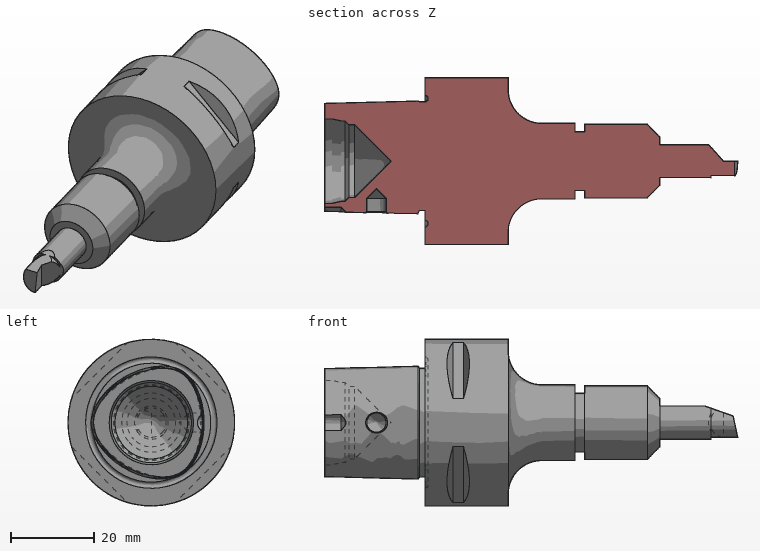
import cadquery as cq
import math

SHANK_START = -24.0
TAPER_END = -1.65
NECK_START = -1.25
FLANGE_WIDTH = 20.0
NECK_FILLET_END = 28.0
GROOVE_START = 36.0
NUT_START = 38.3
NUT_CONE_START = 53.3
NUT_END = 56.3
TIP_START = 68.6
PART_END = 75.0

FLANGE_RADIUS = 20.0
BODY_RADIUS = 9.1
BODY_FILLET_RADIUS = NECK_FILLET_END - FLANGE_WIDTH
GROOVE_RADIUS = 7.1
NUT_RADIUS = 8.87
NUT_FACE_RADIUS = 5.8
TOOL_RADIUS = 4.0
TIP_RADIUS = 3.52

LOBE_HEIGHT = 0.88
NECK_LOBE_HEIGHT = 1.2
SHANK_END_RADIUS = 13.0
OUTLINE_POINTS = 72
TAPER_SLOPE = 1 / 40
TAPER_BASE_RADIUS = SHANK_END_RADIUS + TAPER_SLOPE * (TAPER_END - SHANK_START)
NECK_INSET = 0.5

RING_GROOVE_INNER_RADIUS = 14.25
RING_GROOVE_OUTER_RADIUS = 15.75

BORE_MOUTH_RADIUS = 10.1
BORE_MIDDLE_RADIUS = 9.6
BORE_INNER_RADIUS = 8.7
BORE_MOUTH_DEPTH = 1.8
BORE_TAPER_DEPTH = 4.0
BORE_MIDDLE_DEPTH = 4.9
BORE_SHOULDER_DEPTH = 5.8
BORE_WALL_DEPTH = 7.2
BORE_APEX_DEPTH = BORE_WALL_DEPTH + BORE_INNER_RADIUS

DRILL_HALF_ANGLE = math.radians(45)
SIDE_HOLE_X = -11.6
SIDE_HOLE_RADIUS = 2.3
SIDE_HOLE_CHAMFER = 0.35
SIDE_HOLE_DEPTH = 3.5
SHANK_FLAT_Y = -(SHANK_END_RADIUS - LOBE_HEIGHT + TAPER_SLOPE * (SIDE_HOLE_X - SHANK_START))
KEYWAY_RADIUS = 2.25
KEYWAY_AXIS_Y = -13.3
KEYWAY_LENGTH = 3.9

SLOT_COUNT = 4
SLOT_CENTER_X = 8.0
SLOT_FLOOR_WIDTH = 2.5
SLOT_FLOOR_DISTANCE = 17.6
SLOT_WALL_ANGLE = math.radians(31)

TIP_SLOPE_START = 67.1
TIP_SLOPE_END = 73.9
TIP_SLOPE_END_Z = 1.6
TIP_RELIEF_START = 68.0
TIP_RELIEF_END = 71.6

CLEARANCE = 5.0


def revolve_about_x(points):
    """Solid of revolution about X from (x, radius) points."""
    return cq.Workplane("XY").polyline(points).close().revolve(360, (0, 0, 0), (1, 0, 0))


def lobed_section(x, radius, lobe_height):
    """Three-lobed outline of constant width, with one lobe toward +Y."""

    def point(t):
        angle = 2 * math.pi * t
        support = radius + lobe_height * math.cos(3 * angle)
        slope = -3 * lobe_height * math.sin(3 * angle)
        y = support * math.cos(angle) - slope * math.sin(angle)
        z = support * math.sin(angle) + slope * math.cos(angle)
        return (y, z)

    return cq.Workplane("YZ", origin=(x, 0, 0)).parametricCurve(point, N=OUTLINE_POINTS)


def lobed_loft(start_section, end_section):
    return cq.Workplane(cq.Solid.makeLoft([start_section.val(), end_section.val()], True))


def make_shank():
    """Tapered three-lobed shank and the undercut neck that joins it to the flange."""
    neck_radius = TAPER_BASE_RADIUS - NECK_INSET
    small_end = lobed_section(SHANK_START, SHANK_END_RADIUS, LOBE_HEIGHT)
    base = lobed_section(TAPER_END, TAPER_BASE_RADIUS, LOBE_HEIGHT)
    neck_start = lobed_section(NECK_START, neck_radius, NECK_LOBE_HEIGHT)
    neck_end = lobed_section(0, neck_radius, NECK_LOBE_HEIGHT)
    shank = lobed_loft(small_end, base)
    shank = shank.union(lobed_loft(base, neck_start))
    return shank.union(lobed_loft(neck_start, neck_end))


def make_round_body():
    """Flange with its face groove, filleted body, groove and collet nut."""
    diagonal = math.sqrt(0.5)
    ring_groove_mid = (
        (RING_GROOVE_OUTER_RADIUS - RING_GROOVE_INNER_RADIUS) / 2,
        (RING_GROOVE_OUTER_RADIUS + RING_GROOVE_INNER_RADIUS) / 2,
    )
    fillet_center_radius = BODY_RADIUS + BODY_FILLET_RADIUS
    fillet_mid = (
        NECK_FILLET_END - BODY_FILLET_RADIUS * diagonal,
        fillet_center_radius - BODY_FILLET_RADIUS * diagonal,
    )
    profile = (
        cq.Workplane("XY")
        .moveTo(0, 0)
        .lineTo(0, RING_GROOVE_INNER_RADIUS)
        .threePointArc(ring_groove_mid, (0, RING_GROOVE_OUTER_RADIUS))
        .lineTo(0, FLANGE_RADIUS)
        .lineTo(FLANGE_WIDTH, FLANGE_RADIUS)
        .lineTo(FLANGE_WIDTH, fillet_center_radius)
        .threePointArc(fillet_mid, (NECK_FILLET_END, BODY_RADIUS))
        .lineTo(GROOVE_START, BODY_RADIUS)
        .lineTo(GROOVE_START, GROOVE_RADIUS)
        .lineTo(NUT_START, GROOVE_RADIUS)
        .lineTo(NUT_START, NUT_RADIUS)
        .lineTo(NUT_CONE_START, NUT_RADIUS)
        .lineTo(NUT_END, NUT_FACE_RADIUS)
        .lineTo(NUT_END, 0)
        .close()
    )
    return profile.revolve(360, (0, 0, 0), (1, 0, 0))


def make_tool():
    """Round tool stem with its end ground to a cutting tip."""
    stem = revolve_about_x(
        [
            (NUT_END, 0),
            (NUT_END, TOOL_RADIUS),
            (TIP_START, TOOL_RADIUS),
            (TIP_START, TIP_RADIUS),
            (PART_END, TIP_RADIUS),
            (PART_END, 0),
        ]
    )
    side_outline = [
        (NUT_END, -TOOL_RADIUS),
        (NUT_END, TOOL_RADIUS),
        (TIP_SLOPE_START, TOOL_RADIUS),
        (TIP_SLOPE_END, TIP_SLOPE_END_Z),
        (PART_END, -TIP_RADIUS),
        (TIP_START, -TOOL_RADIUS),
    ]
    side_limit = cq.Workplane("XZ").polyline(side_outline).close().extrude(TOOL_RADIUS, both=True)
    relief_outline = [
        (TIP_RELIEF_START, TOOL_RADIUS),
        (TIP_RELIEF_END, 0),
        (PART_END, 0),
        (PART_END, TOOL_RADIUS),
    ]
    relief = cq.Workplane("XY").polyline(relief_outline).close().extrude(TOOL_RADIUS, both=True)
    return stem.intersect(side_limit).cut(relief)


def make_bore():
    steps = [
        (0, 0),
        (0, BORE_MOUTH_RADIUS),
        (BORE_MOUTH_DEPTH, BORE_MOUTH_RADIUS),
        (BORE_TAPER_DEPTH, BORE_MIDDLE_RADIUS),
        (BORE_MIDDLE_DEPTH, BORE_MIDDLE_RADIUS),
        (BORE_SHOULDER_DEPTH, BORE_INNER_RADIUS),
        (BORE_WALL_DEPTH, BORE_INNER_RADIUS),
        (BORE_APEX_DEPTH, 0),
    ]
    return revolve_about_x([(SHANK_START + depth, radius) for depth, radius in steps])


def make_side_hole():
    """Blind hole with a chamfered mouth and drill-point bottom, drilled along +Y."""
    mouth_radius = SIDE_HOLE_RADIUS + SIDE_HOLE_CHAMFER
    floor_y = SHANK_FLAT_Y + SIDE_HOLE_DEPTH
    profile = [
        (0, SHANK_FLAT_Y - CLEARANCE),
        (mouth_radius, SHANK_FLAT_Y - CLEARANCE),
        (mouth_radius, SHANK_FLAT_Y),
        (SIDE_HOLE_RADIUS, SHANK_FLAT_Y + SIDE_HOLE_CHAMFER),
        (SIDE_HOLE_RADIUS, floor_y),
        (0, floor_y + SIDE_HOLE_RADIUS / math.tan(DRILL_HALF_ANGLE)),
    ]
    hole = cq.Workplane("XY").polyline(profile).close().revolve(360, (0, 0, 0), (0, 1, 0))
    return hole.translate((SIDE_HOLE_X, 0, 0))


def make_keyway():
    """Round-bottomed groove drilled along X into the shank end face."""
    full_depth_x = SHANK_START + KEYWAY_LENGTH
    drill = revolve_about_x(
        [
            (SHANK_START, 0),
            (SHANK_START, KEYWAY_RADIUS),
            (full_depth_x, KEYWAY_RADIUS),
            (full_depth_x + KEYWAY_RADIUS / math.tan(DRILL_HALF_ANGLE), 0),
        ]
    )
    return drill.translate((0, KEYWAY_AXIS_Y, 0))


def make_gripper_slots():
    """Trapezoidal chord slots, spaced evenly and set midway between the Y and Z axes."""
    height = FLANGE_RADIUS - SLOT_FLOOR_DISTANCE
    half_floor = SLOT_FLOOR_WIDTH / 2
    half_mouth = half_floor + height * math.tan(SLOT_WALL_ANGLE)
    outline = [
        (SLOT_CENTER_X - half_floor, SLOT_FLOOR_DISTANCE),
        (SLOT_CENTER_X - half_mouth, FLANGE_RADIUS),
        (SLOT_CENTER_X + half_mouth, FLANGE_RADIUS),
        (SLOT_CENTER_X + half_floor, SLOT_FLOOR_DISTANCE),
    ]
    slot = cq.Workplane("XZ").polyline(outline).close().extrude(FLANGE_RADIUS, both=True)
    spacing = 360 / SLOT_COUNT
    slots = cq.Workplane("XY")
    for index in range(SLOT_COUNT):
        slots = slots.add(slot.rotate((0, 0, 0), (1, 0, 0), (index + 0.5) * spacing))
    return slots


result = make_shank().union(make_round_body()).union(make_tool())
result = result.cut(make_bore()).cut(make_side_hole()).cut(make_keyway())
for gripper_slot in make_gripper_slots().vals():
    result = result.cut(cq.Workplane(gripper_slot))